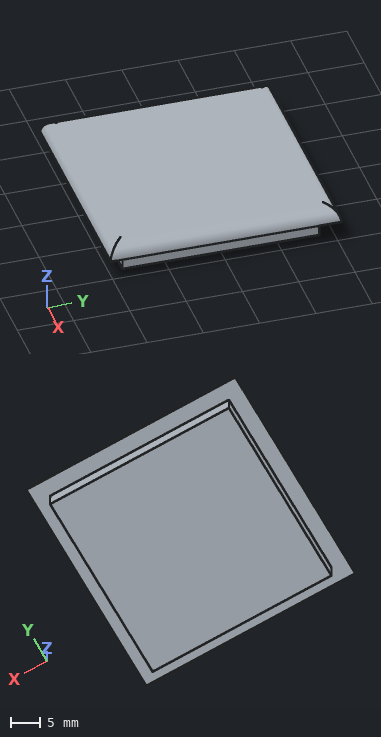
import cadquery as cq

cap_side = 41.0
cap_height = 3.0
plug_height = 4.0

half_side = cap_side / 2
flat_half = half_side - cap_height
plug_side = 2 * flat_half


def rounded_bar(plane):
    """Bar with quarter-round upper edges, centred on the plane; its flat base is at Z = 0."""
    arc_offset = cap_height * 0.5 ** 0.5
    return (
        cq.Workplane(plane)
        .moveTo(-half_side, 0)
        .lineTo(half_side, 0)
        .threePointArc((flat_half + arc_offset, arc_offset), (flat_half, cap_height))
        .lineTo(-flat_half, cap_height)
        .threePointArc((-flat_half - arc_offset, arc_offset), (-half_side, 0))
        .close()
        .extrude(half_side, both=True)
    )


cap = rounded_bar("XZ").intersect(rounded_bar("YZ"))

plug = cq.Workplane("XY").rect(plug_side, plug_side).extrude(-plug_height)

result = cap.union(plug)